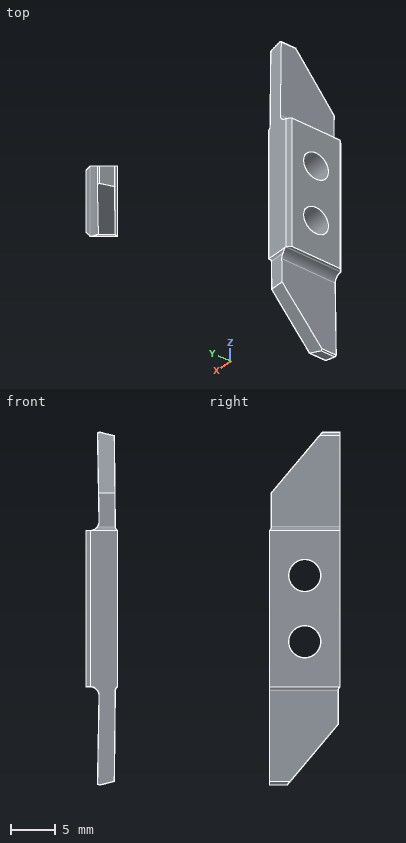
import cadquery as cq
import math

thickness = 3.6
width = 8.0
body_length = 17.7
edge_chamfer = 0.5
front_x = -thickness / 2
back_x = thickness / 2

hole_diameter = 3.6
hole_spacing = 7.5

overall_length = 39.99
blade_step = 0.25
side_step = 0.2
step_radius = 0.5
root_radius = 1.0
root_land = 0.48
front_taper = 1.0
back_taper = 0.6
tip_relief_angle = 14.0
tip_land = 0.25
tip_land_drop = 0.12
tip_width = 2.0
flank_start = 13.1

body_end = body_length / 2
tip_end = overall_length / 2


def make_body():
    block = cq.Workplane("XY").box(thickness, width, body_length)
    return block.edges("|Z and <X").chamfer(edge_chamfer)


def step_arc(step):
    """Middle and end of the setback fillet, as (offset inwards from the body, height above it).

    The arc starts on the body edge and ends tangent to the set-back face.
    """
    full_angle = math.acos(1 - step / step_radius)
    half_angle = full_angle / 2
    height = step_radius * math.sin(full_angle)
    middle = (
        step - step_radius * (1 - math.cos(half_angle)),
        height - step_radius * math.sin(half_angle),
    )
    return middle, (step, height)


def blade_profile():
    """Blade thickness seen along Y, with the concave fillet at its root."""
    root_x = front_x + root_land + root_radius
    root_top = body_end + root_radius
    root_arc_offset = root_radius * math.sqrt(0.5)
    middle, top = step_arc(blade_step)
    step_x = back_x - top[0]
    step_z = body_end + top[1]

    tip_front_z = tip_end - tip_land_drop
    tip_front_x = root_x - (tip_front_z - root_top) * math.tan(math.radians(front_taper))
    cutting_edge_x = tip_front_x + tip_land
    tip_back_x = step_x - (tip_end - step_z) * math.tan(math.radians(back_taper))
    tip_back_z = tip_end - (tip_back_x - cutting_edge_x) * math.tan(math.radians(tip_relief_angle))
    return (
        cq.Workplane("XZ", origin=(0, width / 2, 0))
        .moveTo(front_x + root_land, body_end)
        .threePointArc(
            (root_x - root_radius + root_arc_offset, root_top - root_arc_offset),
            (root_x, root_top),
        )
        .lineTo(tip_front_x, tip_front_z)
        .lineTo(cutting_edge_x, tip_end)
        .lineTo(tip_back_x, tip_back_z)
        .lineTo(step_x, step_z)
        .threePointArc((back_x - middle[0], body_end + middle[1]), (back_x, body_end))
        .close()
        .extrude(width)
    )


def blade_outline():
    """Blade outline seen along X: one straight side, one slanted flank."""
    side = width / 2
    middle, top = step_arc(side_step)
    return (
        cq.Workplane("YZ", origin=(front_x, 0, 0))
        .moveTo(side, body_end)
        .lineTo(side, tip_end)
        .lineTo(side - tip_width, tip_end)
        .lineTo(-side + top[0], flank_start)
        .lineTo(-side + top[0], body_end + top[1])
        .threePointArc((-side + middle[0], body_end + middle[1]), (-side, body_end))
        .close()
        .extrude(thickness)
    )


def make_blade():
    return blade_profile().intersect(blade_outline())


def cut_holes(part):
    holes = (
        cq.Workplane("YZ", origin=(front_x, 0, 0))
        .pushPoints([(0, -hole_spacing / 2), (0, hole_spacing / 2)])
        .circle(hole_diameter / 2)
        .extrude(thickness)
    )
    return part.cut(holes)


upper_blade = make_blade()
lower_blade = upper_blade.rotate((0, 0, 0), (1, 0, 0), 180)
result = cut_holes(make_body().union(upper_blade).union(lower_blade))